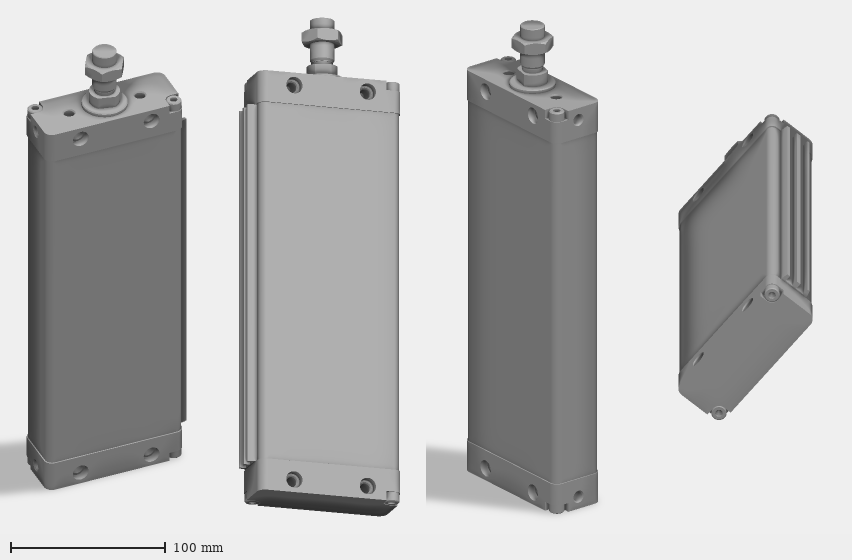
import cadquery as cq
import math

TOTAL_HEIGHT = 324.0
CAP_WIDTH = 38.0
CAP_DEPTH = 97.0
CAP_HEIGHT = 21.0
CAP_CORNER_RADIUS = 5.5
HOUSING_HEIGHT = 282.0
TUBE_STEP = 0.8
RAIL_SIDE_EXTENT = 102.0

SCREW_HEAD_DIAMETER = 10.0
SCREW_SOCKET_DIAMETER = 5.0
SCREW_SOCKET_DEPTH = 3.0
SCREW_RIM_CHAMFER = 0.5
SCREW_RECESS_DIAMETER = 10.5
SCREW_RECESS_DEPTH = 6.0

HOLE_SPACING = 50.0
HOLE_INSET = 8.5
CROSS_BORE_DIAMETER = 11.0
CROSS_BORE_DEPTH = 5.8
TAPPED_HOLE_DIAMETER = 6.8
TAPPED_MOUTH_DIAMETER = 8.5
TAPPED_HOLE_DEPTH = 8.0
PASSAGE_DIAMETER = 5.2
PASSAGE_DEPTH = 11.5

COLLAR_DIAMETER = 30.0
COLLAR_HEIGHT = 2.5
COLLAR_CHAMFER = 0.5

RAIL_BASE_WIDTH = 20.7
RAIL_TIP_WIDTH = 18.5
MIDDLE_RAIL_WIDTH = 3.0
GROOVE_WIDTH = 5.8
GROOVE_FLOOR_RISE = 1.0

ROD_DIAMETER = 20.0
ROD_TOP = 292.5
FLAT_WIDTH = 17.0
FLAT_ANGLE = -13.0
NECK_DIAMETER = 13.3
THREAD_DIAMETER = 16.0
THREAD_BOTTOM = 297.0
THREAD_TIP_CHAMFER = 0.5
RELIEF_DIAMETER = 14.3
RELIEF_TOP = 295.8
RELIEF_BOTTOM = 295.2

NUT_WIDTH = 24.0
NUT_HEIGHT = 8.0
NUT_BOTTOM = 307.8
NUT_CHAMFER_ANGLE = 30.0

HEAD_CAP_BOTTOM = HOUSING_HEIGHT - CAP_HEIGHT
TUBE_HEIGHT = HOUSING_HEIGHT - 2 * CAP_HEIGHT
COLLAR_TOP = HOUSING_HEIGHT + COLLAR_HEIGHT
SCREW_X = CAP_WIDTH / 2 - CAP_CORNER_RADIUS
SCREW_Y = CAP_DEPTH / 2 - CAP_CORNER_RADIUS


def cylinder(diameter, bottom, top):
    """Upright cylinder on the Z axis."""
    return cq.Workplane("XY").workplane(offset=bottom).circle(diameter / 2).extrude(top - bottom)


def turned(profile):
    """Solid of revolution about Z from (radius, height) points."""
    return cq.Workplane("XZ").polyline(profile).close().revolve(360, (0, 0), (0, 1))


def rounded_block(width, depth, height, radius):
    """Upright block on the Z axis with rounded vertical edges, standing on Z = 0."""
    return cq.Workplane("XY").rect(width, depth).extrude(height).edges("|Z").fillet(radius)


def screw_recess():
    """Open corner pocket for the +X +Y screw, with a round inner corner."""
    radius = SCREW_RECESS_DIAMETER / 2
    side = 2 * SCREW_RECESS_DIAMETER
    return (
        cq.Workplane("XY")
        .workplane(offset=CAP_HEIGHT - SCREW_RECESS_DEPTH)
        .center(SCREW_X - radius + side / 2, SCREW_Y - radius + side / 2)
        .rect(side, side)
        .extrude(SCREW_RECESS_DEPTH)
        .edges("|Z")
        .fillet(radius)
    )


def drill(diameter, depth):
    """Cutter from Z = 0 down, with a 45 degree conical bottom below the straight part."""
    radius = diameter / 2
    profile = [(0, 0), (radius, 0), (radius, -depth), (0, -depth - radius)]
    return turned(profile)


def tapped_hole():
    """Blind hole from Z = 0 down: chamfered mouth, then a narrower passage."""
    mouth = TAPPED_MOUTH_DIAMETER / 2
    radius = TAPPED_HOLE_DIAMETER / 2
    profile = [
        (0, 0),
        (mouth, 0),
        (radius, radius - mouth),
        (radius, -TAPPED_HOLE_DEPTH),
        (PASSAGE_DIAMETER / 2, -TAPPED_HOLE_DEPTH),
        (PASSAGE_DIAMETER / 2, -PASSAGE_DEPTH),
        (0, -PASSAGE_DEPTH),
    ]
    return turned(profile)


def screw_head():
    """Socket head standing in the +X +Y recess, level with the cap end."""
    head = cylinder(SCREW_HEAD_DIAMETER, CAP_HEIGHT - SCREW_RECESS_DEPTH, CAP_HEIGHT)
    head = head.faces(">Z").chamfer(SCREW_RIM_CHAMFER)
    socket = drill(SCREW_SOCKET_DIAMETER, SCREW_SOCKET_DEPTH)
    return head.cut(socket.translate((0, 0, CAP_HEIGHT))).translate((SCREW_X, SCREW_Y, 0))


def cross_hole():
    """Through hole along X at Y = Z = 0, counterbored at both ends, with chamfered bore floors."""
    half_width = CAP_WIDTH / 2
    floor = half_width - CROSS_BORE_DEPTH
    bore = CROSS_BORE_DIAMETER / 2
    mouth = TAPPED_MOUTH_DIAMETER / 2
    radius = TAPPED_HOLE_DIAMETER / 2
    profile = [
        (0, 0),
        (radius, 0),
        (radius, floor - (mouth - radius)),
        (mouth, floor),
        (bore, floor),
        (bore, half_width),
        (0, half_width),
    ]
    half = turned(profile)
    return half.union(half.mirror("XY")).rotate((0, 0, 0), (0, 1, 0), 90)


def port():
    """Tapped hole in the middle of the -Y face."""
    mouth_place = (0, -CAP_DEPTH / 2, CAP_HEIGHT - HOLE_INSET)
    return tapped_hole().rotate((0, 0, 0), (1, 0, 0), 90).translate(mouth_place)


def end_cap():
    """Cap with its outer end at Z = CAP_HEIGHT."""
    cap = rounded_block(CAP_WIDTH, CAP_DEPTH, CAP_HEIGHT, CAP_CORNER_RADIUS)
    for turn in (0, 180):
        cap = cap.cut(screw_recess().rotate((0, 0, 0), (0, 0, 1), turn))
        cap = cap.union(screw_head().rotate((0, 0, 0), (0, 0, 1), turn))
    for side in (-1, 1):
        cap = cap.cut(cross_hole().translate((0, side * HOLE_SPACING / 2, CAP_HEIGHT - HOLE_INSET)))
    return cap.cut(port())


def make_head_cap():
    cap = end_cap().translate((0, 0, HEAD_CAP_BOTTOM))
    for side in (-1, 1):
        cap = cap.cut(tapped_hole().translate((0, side * HOLE_SPACING / 2, HOUSING_HEIGHT)))
    collar = cylinder(COLLAR_DIAMETER, HOUSING_HEIGHT, COLLAR_TOP).faces(">Z").chamfer(COLLAR_CHAMFER)
    cap = cap.union(collar)
    return cap.cut(cylinder(ROD_DIAMETER, HEAD_CAP_BOTTOM, COLLAR_TOP))


def make_rear_cap():
    return end_cap().mirror("XY").translate((0, 0, CAP_HEIGHT))


def sensor_rails():
    """Three rails standing on Z = 0: one strip with bulging sides, split by two grooves."""
    tip_y = RAIL_SIDE_EXTENT - CAP_DEPTH / 2
    side_y = CAP_DEPTH / 2 - TUBE_STEP
    base_x = RAIL_BASE_WIDTH / 2
    tip_x = RAIL_TIP_WIDTH / 2
    inset = base_x - tip_x
    rise = tip_y - side_y
    bulge_radius = (rise ** 2 + inset ** 2) / (2 * inset)
    strip = (
        cq.Workplane("XY")
        .moveTo(-base_x, 0)
        .lineTo(base_x, 0)
        .lineTo(base_x, side_y)
        .radiusArc((tip_x, tip_y), -bulge_radius)
        .lineTo(-tip_x, tip_y)
        .radiusArc((-base_x, side_y), -bulge_radius)
        .close()
        .extrude(TUBE_HEIGHT)
    )
    groove_x = (MIDDLE_RAIL_WIDTH + GROOVE_WIDTH) / 2
    floor_y = CAP_DEPTH / 2 + GROOVE_FLOOR_RISE
    for side in (-1, 1):
        groove = cq.Workplane("XY").box(GROOVE_WIDTH, rise, TUBE_HEIGHT, centered=(True, False, False))
        strip = strip.cut(groove.translate((side * groove_x, floor_y, 0)))
    return strip


def make_tube():
    width = CAP_WIDTH - 2 * TUBE_STEP
    depth = CAP_DEPTH - 2 * TUBE_STEP
    tube = rounded_block(width, depth, TUBE_HEIGHT, CAP_CORNER_RADIUS - TUBE_STEP)
    return tube.union(sensor_rails()).translate((0, 0, CAP_HEIGHT))


def make_rod():
    """Turned piston rod with two wrench flats above the bearing collar."""
    thread_radius = THREAD_DIAMETER / 2
    profile = [
        (0, HEAD_CAP_BOTTOM),
        (ROD_DIAMETER / 2, HEAD_CAP_BOTTOM),
        (ROD_DIAMETER / 2, ROD_TOP),
        (NECK_DIAMETER / 2, ROD_TOP),
        (NECK_DIAMETER / 2, RELIEF_BOTTOM),
        (RELIEF_DIAMETER / 2, RELIEF_BOTTOM),
        (RELIEF_DIAMETER / 2, RELIEF_TOP),
        (thread_radius, THREAD_BOTTOM),
        (thread_radius, TOTAL_HEIGHT - THREAD_TIP_CHAMFER),
        (thread_radius - THREAD_TIP_CHAMFER, TOTAL_HEIGHT),
        (0, TOTAL_HEIGHT),
    ]
    between_flats = cq.Workplane("XY").box(FLAT_WIDTH, 2 * ROD_DIAMETER, 2 * TOTAL_HEIGHT)
    outside_flats = cylinder(ROD_DIAMETER, COLLAR_TOP, ROD_TOP).cut(between_flats)
    return turned(profile).cut(outside_flats.rotate((0, 0, 0), (0, 0, 1), FLAT_ANGLE))


def make_nut():
    """Hexagon with corners on the Y axis, both faces turned down to a circle."""
    flat_radius = NUT_WIDTH / 2
    corner_radius = flat_radius / math.cos(math.pi / 6)
    corner_drop = (corner_radius - flat_radius) * math.tan(math.radians(NUT_CHAMFER_ANGLE))
    nut = (
        cq.Workplane("XY")
        .polygon(6, 2 * corner_radius)
        .extrude(NUT_HEIGHT)
        .rotate((0, 0, 0), (0, 0, 1), 30)
    )
    turned_profile = [
        (0, 0),
        (flat_radius, 0),
        (corner_radius, corner_drop),
        (corner_radius, NUT_HEIGHT - corner_drop),
        (flat_radius, NUT_HEIGHT),
        (0, NUT_HEIGHT),
    ]
    nut = nut.intersect(turned(turned_profile))
    return nut.cut(cylinder(THREAD_DIAMETER, 0, NUT_HEIGHT)).translate((0, 0, NUT_BOTTOM))


tube = make_tube()
head_cap = make_head_cap()
rear_cap = make_rear_cap()
rod = make_rod()
nut = make_nut()

result = cq.Compound.makeCompound(
    [tube.val(), head_cap.val(), rear_cap.val(), rod.val(), nut.val()]
)